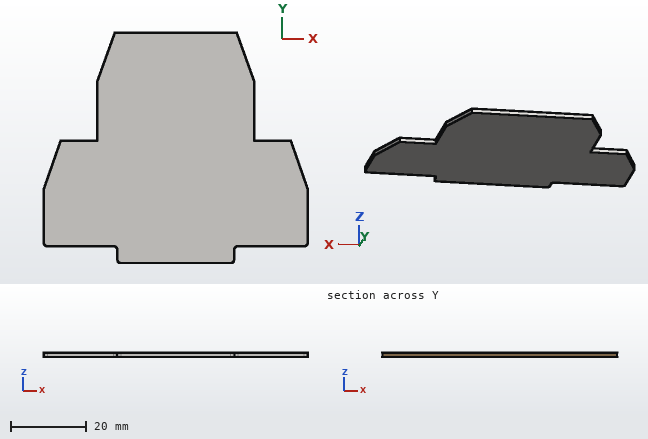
import cadquery as cq

width = 69.9
height = 61.0
thickness = 1.2

foot_height = 4.5
base_side_top = 19.65
shoulder_height = 32.4
tower_side_top = 48.0

foot_width = 31.0
base_top_width = 60.95
tower_width = 41.65
tower_top_width = 32.3

corner_radius = 1.0


def stepped_outline():
    """Right half of the outline from foot to top, then its mirror image."""
    right_half = [
        (foot_width / 2, 0),
        (foot_width / 2, foot_height),
        (width / 2, foot_height),
        (width / 2, base_side_top),
        (base_top_width / 2, shoulder_height),
        (tower_width / 2, shoulder_height),
        (tower_width / 2, tower_side_top),
        (tower_top_width / 2, height),
    ]
    left_half = [(-x, y) for x, y in reversed(right_half)]
    return right_half + left_half


def round_corners(plate, half_width, level, radius):
    """Round the mirrored pair of upright edges at the given outline corner."""
    reach = 0.1
    for x in (-half_width, half_width):
        corner = cq.selectors.BoxSelector(
            (x - reach, level - reach, -reach),
            (x + reach, level + reach, thickness + reach),
        )
        plate = plate.edges("|Z").edges(corner).fillet(radius)
    return plate


plate = cq.Workplane("XY").polyline(stepped_outline()).close().extrude(thickness)
plate = round_corners(plate, width / 2, foot_height, corner_radius)
plate = round_corners(plate, foot_width / 2, foot_height, corner_radius)
result = round_corners(plate, foot_width / 2, 0, corner_radius)